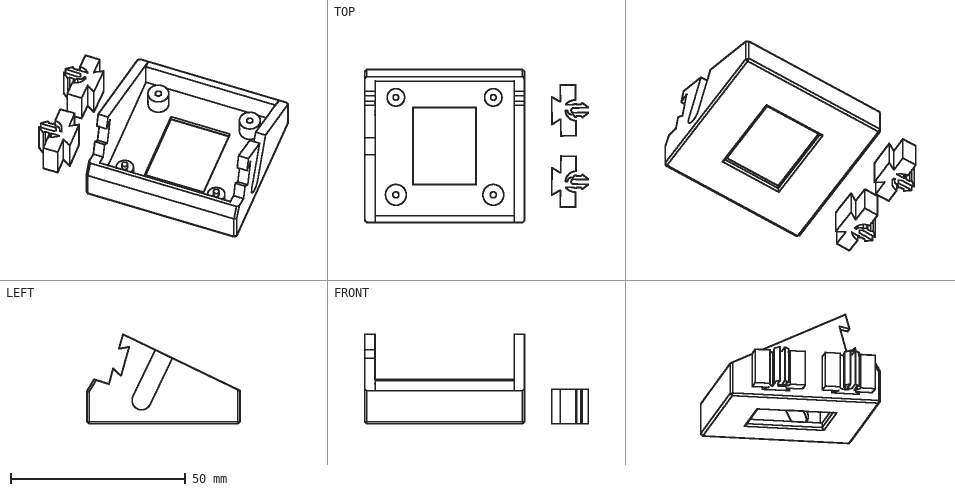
import cadquery as cq
import math

overall_length = 64.3

width = 46.0
depth = 44.0
height = 25.7
edge_chamfer = 0.65
search_margin = 0.1
floor_thickness = 2.0
side_wall = 3.0
thin_wall = 2.0
lip_depth = 3.4
lip_z = 12.35
front_height = 9.5
bevel_bottom = 9.4
ridge_y = 41.9
ridge_z = 12.8
tip_y = 33.6
notches = [
    (37.7, 11.45),
    (36.45, 15.95),
    (34.2, 13.75),
    (31.9, 22.05),
    (34.85, 21.5),
]
slope = math.atan2(height - front_height, tip_y)

window_width = 18.0
window_depth = 22.0
post_spacing = 28.0
post_front_y = 8.0
post_height = 5.0
pin_post_diameter = 5.0
pin_diameter = 1.6
pin_height = 1.5
screw_post_diameter = 6.0
screw_hole_diameter = 1.75
screw_hole_depth = 2.6
drill_half_angle = 59.0
slot_width = 5.45
slot_end_y = 28.3
slot_end_z = 6.75

clip_height = 9.95
clip_offset_y = 10.15
clip_tilt = 0.8
dovetail_half = 4.0
waist_half = 2.5
bar_back = 2.5
bar_front = 6.95
bar_half = 7.3
relief_radius = 2.95
relief_corner_x = 4.0
relief_middle_x = 5.2
relief_middle_y = 2.6
prong_half = 1.7
root_half = 1.2
root_x = 4.5
bump_start = 6.4
bump_crest_start = 6.7
bump_crest_end = 6.95
bump_end = 7.2
bump_half = 1.9
curved_bump_start = 6.05
barb_start = 8.35
barb_x = 8.8
barb_half = 2.1
tip_x = 10.55
tip_half = 0.8
slit_half = 0.65
slit_end = 5.6
tilt_radians = math.radians(clip_tilt)
tip_reach = tip_x * math.cos(tilt_radians) + tip_half * math.sin(tilt_radians)
clip_face_x = overall_length - tip_reach


def housing_block():
    """Side profile extruded across the width, with chamfered outer edges."""
    profile = [
        (0, 0),
        (depth, 0),
        (depth, bevel_bottom),
        (ridge_y, ridge_z),
        *notches,
        (tip_y, height),
        (0, front_height),
    ]
    block = cq.Workplane("YZ").polyline(profile).close().extrude(width)
    bevel_middle_z = (bevel_bottom + ridge_z) / 2
    bevel_middle_y = (depth + ridge_y) / 2
    bevel_edges = cq.selectors.BoxSelector(
        (-search_margin, bevel_middle_y - search_margin, bevel_middle_z - search_margin),
        (width + search_margin, bevel_middle_y + search_margin, bevel_middle_z + search_margin),
    )
    edges = block.edges("|Z").add(block.faces("<Z").edges()).add(block.edges(bevel_edges))
    return edges.chamfer(edge_chamfer)


def cavity():
    """Open inside of the housing: low front wall, rear wall leaning inward at the top."""
    lip_y = depth - lip_depth
    profile = [
        (thin_wall, floor_thickness),
        (depth - thin_wall, floor_thickness),
        (depth - thin_wall, front_height),
        (lip_y, lip_z),
        (lip_y, height),
        (0, height),
        (0, front_height),
        (thin_wall, front_height),
    ]
    inner_width = width - 2 * side_wall
    return cq.Workplane("YZ", origin=(side_wall, 0, 0)).polyline(profile).close().extrude(inner_width)


def window():
    """Rectangular opening in the floor, chamfered at the underside like the outer edges."""
    center = cq.Workplane("XY").center(width / 2, depth / 2)
    opening = center.rect(window_width, window_depth).extrude(floor_thickness)
    flare = (
        center.rect(window_width + 2 * edge_chamfer, window_depth + 2 * edge_chamfer)
        .workplane(offset=edge_chamfer)
        .rect(window_width, window_depth)
        .loft(ruled=True)
    )
    return opening.union(flare)


def side_slot():
    """Round-ended slot through the -X wall, square to the sloping edge."""
    slot = (
        cq.Workplane("YZ")
        .moveTo(-slot_width / 2, 0)
        .threePointArc((0, -slot_width / 2), (slot_width / 2, 0))
        .lineTo(slot_width / 2, height)
        .lineTo(-slot_width / 2, height)
        .close()
        .extrude(side_wall)
    )
    return slot.rotate((0, 0, 0), (1, 0, 0), math.degrees(slope)).translate((0, slot_end_y, slot_end_z))


def post(diameter):
    return cq.Workplane("XY").circle(diameter / 2).extrude(floor_thickness + post_height)


def pin_post():
    return post(pin_post_diameter).faces(">Z").workplane().circle(pin_diameter / 2).extrude(pin_height)


def screw_post():
    """Post with a blind hole that ends in a drill point."""
    top = floor_thickness + post_height
    radius = screw_hole_diameter / 2
    point = radius / math.tan(math.radians(drill_half_angle))
    bottom = top - screw_hole_depth
    hole = (
        cq.Workplane("XZ")
        .polyline([(0, top), (radius, top), (radius, bottom), (0, bottom - point)])
        .close()
        .revolve(360, (0, 0, 0), (0, 1, 0))
    )
    return post(screw_post_diameter).cut(hole)


def make_housing():
    body = housing_block().cut(cavity()).cut(window()).cut(side_slot())
    for side in (-1, 1):
        post_x = width / 2 + side * post_spacing / 2
        body = body.union(screw_post().translate((post_x, post_front_y, 0)))
        body = body.union(pin_post().translate((post_x, post_front_y + post_spacing, 0)))
    return body


def make_clip():
    """Dovetail, cross bar and a pair of barbed prongs; the -Y prong has a curved root."""
    diagonal = relief_radius * math.sqrt(0.5)
    return (
        cq.Workplane("XY")
        .moveTo(0, dovetail_half)
        .lineTo(bar_back, waist_half)
        .lineTo(bar_back, bar_half)
        .lineTo(bar_front, bar_half)
        .lineTo(bar_front, relief_radius)
        .threePointArc((relief_middle_x, relief_middle_y), (relief_corner_x, prong_half))
        .lineTo(bump_start, prong_half)
        .lineTo(bump_crest_start, bump_half)
        .lineTo(bump_crest_end, bump_half)
        .lineTo(bump_end, prong_half)
        .lineTo(barb_start, prong_half)
        .lineTo(barb_x, barb_half)
        .lineTo(tip_x, tip_half)
        .lineTo(tip_x, slit_half)
        .lineTo(slit_end + slit_half, slit_half)
        .threePointArc((slit_end, 0), (slit_end + slit_half, -slit_half))
        .lineTo(tip_x, -slit_half)
        .lineTo(tip_x, -tip_half)
        .lineTo(barb_x, -barb_half)
        .lineTo(barb_start, -prong_half)
        .lineTo(bump_end, -prong_half)
        .lineTo(bump_crest_end, -bump_half)
        .lineTo(bump_crest_start, -bump_half)
        .lineTo(curved_bump_start, -root_half)
        .lineTo(root_x + root_half, -root_half)
        .radiusArc((root_x, 0), root_half)
        .lineTo(bar_front - relief_radius, 0)
        .threePointArc((bar_front - diagonal, -diagonal), (bar_front, -relief_radius))
        .lineTo(bar_front, -bar_half)
        .lineTo(bar_back, -bar_half)
        .lineTo(bar_back, -waist_half)
        .lineTo(0, -dovetail_half)
        .close()
        .extrude(clip_height)
        .rotate((0, 0, 0), (0, 0, 1), clip_tilt)
        .translate((clip_face_x, clip_offset_y, 0))
    )


housing = make_housing()
rear_clip = make_clip()
clips = [clip.translate((0, depth / 2, 0)) for clip in (rear_clip, rear_clip.mirror("XZ"))]

result = cq.Compound.makeCompound([housing.val(), *[clip.val() for clip in clips]])